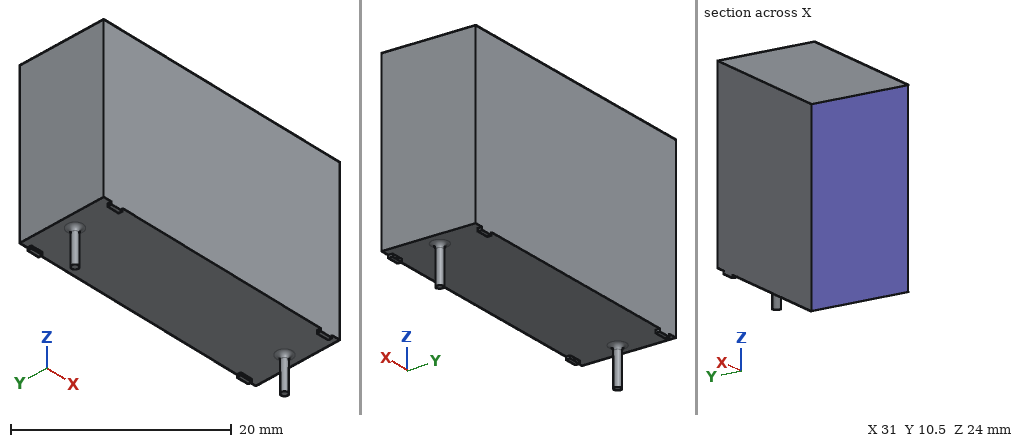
import cadquery as cq
import math

case_length = 31.0
case_width = 10.5
overall_height = 24.0
lead_below_feet = 4.0
foot_height = 0.3
lead_drop = lead_below_feet + foot_height
case_height = overall_height - lead_drop

lead_diameter = 0.8
lead_pitch = 27.5
lead_radius = lead_diameter / 2
lead_positions = [(-lead_pitch / 2, 0), (lead_pitch / 2, 0)]

collar_radius = 0.55

foot_length = 1.5
foot_width = 0.5
foot_offset_y = (case_width - foot_width) / 2


def make_case():
    return cq.Workplane("XY").box(
        case_length, case_width, case_height, centered=(True, True, False)
    )


def make_feet():
    foot_positions = [(x, side * foot_offset_y) for x, _ in lead_positions for side in (-1, 1)]
    return (
        cq.Workplane("XY")
        .pushPoints(foot_positions)
        .rect(foot_length, foot_width)
        .extrude(-foot_height)
    )


def make_lead():
    """Lead on the Z axis, blended into the underside by a concave quarter round."""
    arc_inset = collar_radius * (1 - math.sqrt(0.5))
    return (
        cq.Workplane("XZ")
        .lineTo(lead_radius + collar_radius, 0)
        .threePointArc(
            (lead_radius + arc_inset, -arc_inset),
            (lead_radius, -collar_radius),
        )
        .lineTo(lead_radius, -lead_drop)
        .lineTo(0, -lead_drop)
        .close()
        .revolve(360, (0, 0), (0, 1))
    )


result = make_case().union(make_feet())
for position in lead_positions:
    result = result.union(make_lead().translate((*position, 0)))